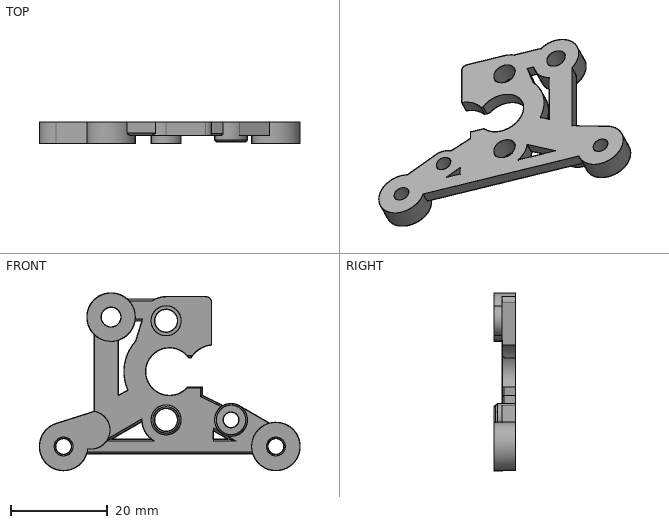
import cadquery as cq
import math


PLATE_HEIGHT = 2.8
BOSS_HEIGHT = 4.45
PEG_HEIGHT = 4.1

BOSS_RADIUS = 10.0 / 2
LEFT_BOSS = (0, 0)
RIGHT_BOSS = (53.85 - 2 * BOSS_RADIUS, 0)
TOP_BOSS = (9.8, 36.75 - 2 * BOSS_RADIUS)
LOWER_HOLE_DIAMETER = 3.25
LOWER_HOLE_CHAMFER = 0.3
TOP_HOLE_DIAMETER = 4.05

COLLAR_X = 21.15
UPPER_COLLAR = (COLLAR_X, 25.95)
LOWER_COLLAR = (COLLAR_X, 5.5)
COLLAR_DIAMETER = 6.2
COLLAR_HOLE_DIAMETER = 4.7
COLLAR_CHAMFER = 0.4
COLLAR_WALL_RADIUS = 5.0

PEG = (34.6, LOWER_COLLAR[1])
PEG_DIAMETER = 6.8
PEG_TIP_DIAMETER = 6.1
PEG_CHAMFER = (PEG_DIAMETER - PEG_TIP_DIAMETER) / 2
PEG_HOLE_DIAMETER = 3.2

BORE = (21.85, 15.45)
BORE_RADIUS = 4.9
BORE_RING_RADIUS = 9.4
MOUTH_X = 31.0
MOUTH_RADIUS = 5.5
MOUTH_TOP_Z = 18.3
MOUTH_BOTTOM_Z = 12.35

COLUMN_LEFT_X = 6.3
COLUMN_RIGHT_X = 11.3
BASE_BAR_HALF_WIDTH = 1.5
STRIP_BOTTOM_Z = 25.9
STRIP_TOP_Z = 30.5
WINDOW_TOP_X = 16.15
RING_START_X = 13.25
RING_END_X = 14.85
HEAD_TOP_Z = UPPER_COLLAR[1] + COLLAR_WALL_RADIUS
HEAD_RIGHT_X = 30.6
HEAD_CORNER_RADIUS = 1.25
LIP_RIGHT_X = 28.65
LIP_FOOT_Z = 10.55
LIP_SLOPE = 0.49
BAR_ANGLE = math.radians(30)
BAR_SLOPE = math.tan(BAR_ANGLE)
WEB_RIGHT_X = 30.9
PEG_BAR_LOWER_OFFSET = 3.75
BRACE_TOP_Z = 10.55
BRACE_LOWER_Z = 5.1
EDGE_CHAMFER = 0.5
BAR_CHAMFER = 0.4
LIP_CHAMFER = 0.2

ARM_END = (5.65, 3.4)
ARM_END_RADIUS = 3.95
ARM_TOP_Z = 7.25


def on_circle(centre, radius, angle):
    return (centre[0] + radius * math.cos(angle), centre[1] + radius * math.sin(angle))


def z_on_circle(centre, radius, x, side):
    """Height of a circle at x, on its upper (+1) or lower (-1) half."""
    return centre[1] + side * math.sqrt(radius**2 - (x - centre[0]) ** 2)


def x_on_circle(centre, radius, z, side):
    """X of a circle at height z, on its right (+1) or left (-1) half."""
    return centre[0] + side * math.sqrt(radius**2 - (z - centre[1]) ** 2)


def angle_from(centre, point):
    return math.atan2(point[1] - centre[1], point[0] - centre[0])


def cylinder(centre, diameter, height):
    return cq.Workplane("XZ").center(*centre).circle(diameter / 2).extrude(height)


def plate_blank():
    """Outer outline of the plate, with the bore still closed."""
    wall_start_x = x_on_circle(UPPER_COLLAR, COLLAR_WALL_RADIUS, STRIP_TOP_Z, -1)
    wall_start = (wall_start_x, STRIP_TOP_Z)
    wall_mid_angle = (angle_from(UPPER_COLLAR, wall_start) + math.pi / 2) / 2
    peg_radius = PEG_DIAMETER / 2
    bar_tangent = on_circle(PEG, peg_radius, math.pi / 2 - BAR_ANGLE)
    bar_end_z = bar_tangent[1] - (RIGHT_BOSS[0] - bar_tangent[0]) * BAR_SLOPE
    slope_end_z = LIP_FOOT_Z - (PEG[0] - LIP_RIGHT_X) * LIP_SLOPE
    return (
        cq.Workplane("XZ")
        .moveTo(LEFT_BOSS[0], -BASE_BAR_HALF_WIDTH)
        .lineTo(*LEFT_BOSS)
        .lineTo(COLUMN_LEFT_X, LEFT_BOSS[1])
        .lineTo(COLUMN_LEFT_X, TOP_BOSS[1])
        .lineTo(TOP_BOSS[0], STRIP_TOP_Z)
        .lineTo(*wall_start)
        .threePointArc(
            on_circle(UPPER_COLLAR, COLLAR_WALL_RADIUS, wall_mid_angle),
            (COLLAR_X, HEAD_TOP_Z),
        )
        .lineTo(HEAD_RIGHT_X - HEAD_CORNER_RADIUS, HEAD_TOP_Z)
        .radiusArc((HEAD_RIGHT_X, HEAD_TOP_Z - HEAD_CORNER_RADIUS), HEAD_CORNER_RADIUS)
        .lineTo(HEAD_RIGHT_X, MOUTH_BOTTOM_Z)
        .lineTo(LIP_RIGHT_X, MOUTH_BOTTOM_Z)
        .lineTo(LIP_RIGHT_X, LIP_FOOT_Z)
        .lineTo(PEG[0], slope_end_z)
        .lineTo(*bar_tangent)
        .lineTo(RIGHT_BOSS[0], bar_end_z)
        .lineTo(RIGHT_BOSS[0], -BASE_BAR_HALF_WIDTH)
        .close()
        .extrude(PLATE_HEIGHT)
    )


def bore_opening():
    """Round bore, straight mouth and rounded relief at the mouth."""
    mouth_length = MOUTH_X - BORE[0]
    mouth_height = MOUTH_TOP_Z - MOUTH_BOTTOM_Z
    mouth = (
        cq.Workplane("XZ")
        .center(BORE[0] + mouth_length / 2, MOUTH_BOTTOM_Z + mouth_height / 2)
        .rect(mouth_length, mouth_height)
        .extrude(PLATE_HEIGHT)
    )
    relief = cylinder((MOUTH_X, BORE[1]), 2 * MOUTH_RADIUS, PLATE_HEIGHT)
    above_lip = (
        cq.Workplane("XZ")
        .center(MOUTH_X, MOUTH_BOTTOM_Z + MOUTH_RADIUS)
        .rect(2 * MOUTH_RADIUS, 2 * MOUTH_RADIUS)
        .extrude(PLATE_HEIGHT)
    )
    bore = cylinder(BORE, 2 * BORE_RADIUS, PLATE_HEIGHT)
    return bore.union(mouth).union(relief.intersect(above_lip))


def column_window():
    """Opening between the column and the ring around the bore."""
    ring_bottom = (RING_START_X, z_on_circle(BORE, BORE_RING_RADIUS, RING_START_X, -1))
    ring_top = (RING_END_X, z_on_circle(BORE, BORE_RING_RADIUS, RING_END_X, 1))
    ring_left = (BORE[0] - BORE_RING_RADIUS, BORE[1])
    return (
        cq.Workplane("XZ")
        .moveTo(COLUMN_RIGHT_X, BRACE_TOP_Z)
        .lineTo(*ring_bottom)
        .threePointArc(ring_left, ring_top)
        .lineTo(WINDOW_TOP_X, STRIP_BOTTOM_Z)
        .lineTo(COLUMN_RIGHT_X, STRIP_BOTTOM_Z)
        .close()
        .extrude(PLATE_HEIGHT)
    )


def brace_window():
    """Opening under the brace, bounded on the right by the lower collar wall."""
    wall_top = (
        x_on_circle(LOWER_COLLAR, COLLAR_WALL_RADIUS, BRACE_LOWER_Z, -1),
        BRACE_LOWER_Z,
    )
    wall_bottom = (
        x_on_circle(LOWER_COLLAR, COLLAR_WALL_RADIUS, BASE_BAR_HALF_WIDTH, -1),
        BASE_BAR_HALF_WIDTH,
    )
    start_angle = angle_from(LOWER_COLLAR, wall_top) % (2 * math.pi)
    end_angle = angle_from(LOWER_COLLAR, wall_bottom) % (2 * math.pi)
    wall_mid_angle = (start_angle + end_angle) / 2
    brace_length = (BRACE_LOWER_Z - BASE_BAR_HALF_WIDTH) / BAR_SLOPE
    return (
        cq.Workplane("XZ")
        .moveTo(wall_top[0] - brace_length, BASE_BAR_HALF_WIDTH)
        .lineTo(*wall_top)
        .threePointArc(on_circle(LOWER_COLLAR, COLLAR_WALL_RADIUS, wall_mid_angle), wall_bottom)
        .close()
        .extrude(PLATE_HEIGHT)
    )


def peg_window():
    """Small triangular opening under the peg bar."""
    bar_edge_z = PEG[1] - PEG_BAR_LOWER_OFFSET / math.cos(BAR_ANGLE)
    corner_z = bar_edge_z + (PEG[0] - WEB_RIGHT_X) * BAR_SLOPE
    length = (corner_z - BASE_BAR_HALF_WIDTH) / BAR_SLOPE
    return (
        cq.Workplane("XZ")
        .moveTo(WEB_RIGHT_X, BASE_BAR_HALF_WIDTH)
        .lineTo(WEB_RIGHT_X, corner_z)
        .lineTo(WEB_RIGHT_X + length, BASE_BAR_HALF_WIDTH)
        .close()
        .extrude(PLATE_HEIGHT)
    )


def chamfer_front_edges(plate, size, near_points):
    """Chamfer the front edges of the plate whose middles lie nearest the points."""
    front_face = plate.faces("<Y")
    chosen = []
    for x, z in near_points:
        nearest = cq.selectors.NearestToPointSelector((x, -PLATE_HEIGHT, z))
        chosen += front_face.edges(nearest).vals()
    return plate.newObject(chosen).chamfer(size)


def arm():
    """Full-height arm from the left boss to the foot of the column."""
    arm_top = (x_on_circle(ARM_END, ARM_END_RADIUS, ARM_TOP_Z, 1), ARM_TOP_Z)
    reach = math.hypot(*arm_top)
    tangent_angle = angle_from(LEFT_BOSS, arm_top) + math.acos(BOSS_RADIUS / reach)
    return (
        cq.Workplane("XZ")
        .moveTo(*LEFT_BOSS)
        .lineTo(*on_circle(LEFT_BOSS, BOSS_RADIUS, tangent_angle))
        .lineTo(*arm_top)
        .threePointArc(
            (ARM_END[0] + ARM_END_RADIUS, ARM_END[1]),
            (ARM_END[0], ARM_END[1] - ARM_END_RADIUS),
        )
        .lineTo(0, ARM_END[1] - ARM_END_RADIUS)
        .close()
        .extrude(BOSS_HEIGHT)
    )


plate = plate_blank()
for opening in (bore_opening(), column_window(), brace_window(), peg_window()):
    plate = plate.cut(opening)

strip_top_edge = (13.2, STRIP_TOP_Z)
strip_bottom_edge = (13.75, STRIP_BOTTOM_Z)
tooth_edge = (26.4, MOUTH_TOP_Z)
brace_edge = (12.9, 3.25)
peg_bar_edge = (32.85, 2.4)
base_edge = ((LEFT_BOSS[0] + RIGHT_BOSS[0]) / 2, -BASE_BAR_HALF_WIDTH)
brace_window_floor = (14, BASE_BAR_HALF_WIDTH)
peg_window_floor = (33.1, BASE_BAR_HALF_WIDTH)
lip_slope_edge = ((LIP_RIGHT_X + PEG[0]) / 2, LIP_FOOT_Z - LIP_SLOPE * (PEG[0] - LIP_RIGHT_X) / 2)
lip_side_edge = (LIP_RIGHT_X, (LIP_FOOT_Z + MOUTH_BOTTOM_Z) / 2)
lip_top_edge = (26.95, MOUTH_BOTTOM_Z)

wide_edges = [strip_top_edge, tooth_edge, brace_edge, peg_bar_edge]
bar_edges = [
    strip_bottom_edge,
    base_edge,
    brace_window_floor,
    peg_window_floor,
    lip_slope_edge,
    lip_side_edge,
]
plate = chamfer_front_edges(plate, EDGE_CHAMFER, wide_edges)
plate = chamfer_front_edges(plate, BAR_CHAMFER, bar_edges)
plate = chamfer_front_edges(plate, LIP_CHAMFER, [lip_top_edge])

result = plate.union(arm())
for centre in (LEFT_BOSS, RIGHT_BOSS, TOP_BOSS):
    result = result.union(cylinder(centre, 2 * BOSS_RADIUS, BOSS_HEIGHT))
upper_collar = cylinder(UPPER_COLLAR, COLLAR_DIAMETER, BOSS_HEIGHT)
lower_collar = cylinder(LOWER_COLLAR, COLLAR_DIAMETER, BOSS_HEIGHT).faces("<Y").chamfer(COLLAR_CHAMFER)
peg = cylinder(PEG, PEG_DIAMETER, PEG_HEIGHT).faces("<Y").chamfer(PEG_CHAMFER)
for pin in (upper_collar, lower_collar, peg):
    result = result.union(pin)

holes = [
    (UPPER_COLLAR, COLLAR_HOLE_DIAMETER),
    (LOWER_COLLAR, COLLAR_HOLE_DIAMETER),
    (PEG, PEG_HOLE_DIAMETER),
    (TOP_BOSS, TOP_HOLE_DIAMETER),
    (LEFT_BOSS, LOWER_HOLE_DIAMETER),
    (RIGHT_BOSS, LOWER_HOLE_DIAMETER),
]
for centre, diameter in holes:
    result = result.cut(cylinder(centre, diameter, BOSS_HEIGHT))

for centre in (LEFT_BOSS, RIGHT_BOSS):
    rim = cylinder(centre, LOWER_HOLE_DIAMETER + 2 * LOWER_HOLE_CHAMFER, BOSS_HEIGHT)
    past_rim = rim.faces(">Y").chamfer(LOWER_HOLE_CHAMFER)
    countersink = past_rim.translate((0, -BOSS_HEIGHT + LOWER_HOLE_CHAMFER, 0))
    result = result.cut(countersink)